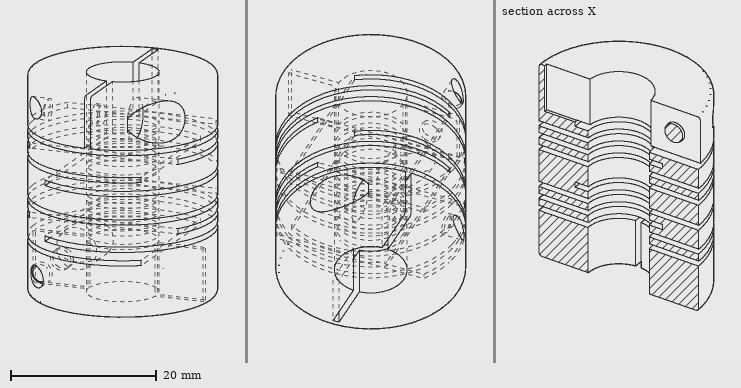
import cadquery as cq

length = 31.5
body_diameter = 26.2
bore_diameter = 10.02
edge_fillet = 0.5

collar_length = 7.45
slot_width = 0.75
slot_pitch = 1.95
slot_floor_offset = 7.12

slit_width = 0.88
slit_depth = 7.5
slit_end_offset = 12.1

screw_diameter = 3.02
screw_offset = 9.0
screw_inset = collar_length / 2
screw_tip_offset = 7.7
screw_tip_chamfer = 0.28
counterbore_diameter = 6.0
counterbore_floor_offset = 5.42

body_radius = body_diameter / 2
overrun = 0.3
cutter_reach = body_radius + overrun


def make_body():
    """Filleted cylinder, before the bore is made."""
    cylinder = cq.Workplane("XY").circle(body_radius).extrude(length)
    return cylinder.faces("<Z or >Z").edges().fillet(edge_fillet)


def make_bore():
    return cq.Workplane("XY").circle(bore_diameter / 2).extrude(length)


def slot_cutter(center_z, direction_angle):
    """Slot open toward the given angle about Z, measured from +X."""
    cutter = cq.Workplane("XY").box(
        slot_floor_offset + cutter_reach, 2 * cutter_reach, slot_width, centered=(False, True, True)
    )
    cutter = cutter.translate((-slot_floor_offset, 0, center_z))
    return cutter.rotate((0, 0, 0), (0, 0, 1), direction_angle)


def slit_cutter():
    """Slit down from the top face, open to -Y and closed near +Y."""
    cutter = cq.Workplane("XY").box(
        slit_width, cutter_reach + slit_end_offset, slit_depth, centered=(True, False, False)
    )
    return cutter.translate((0, -cutter_reach, length - slit_depth))


def rod_along_x(diameter, start_x, end_x):
    """Cylinder on the axis of the top clamp screw."""
    plane = cq.Workplane("YZ", origin=(start_x, -screw_offset, length - screw_inset))
    return plane.circle(diameter / 2).extrude(end_x - start_x)


def screw_hole_cutter():
    """Counterbore from +X and a hole from -X that leaves the chamfered screw tip standing."""
    counterbore = rod_along_x(counterbore_diameter, counterbore_floor_offset, cutter_reach)
    tip = rod_along_x(screw_diameter, -screw_tip_offset, 0).faces("<X").chamfer(screw_tip_chamfer)
    hole_floor_x = screw_tip_chamfer - screw_tip_offset
    tip_hole = rod_along_x(screw_diameter, -cutter_reach, hole_floor_x).cut(tip)
    return counterbore.union(tip_hole)


def to_bottom_collar(shape):
    """Carry a top collar shape to the bottom one: half turn about X, then a quarter turn about Z."""
    middle = length / 2
    flipped = shape.rotate((0, 0, middle), (1, 0, middle), 180)
    return flipped.rotate((0, 0, 0), (0, 0, 1), 90)


result = make_body().cut(make_bore())

top_slot_angles = (-90, 90, 180, 0)
bottom_slot_angles = (180, 0, 90, -90)
for index, (top_angle, bottom_angle) in enumerate(zip(top_slot_angles, bottom_slot_angles)):
    slot_inset = collar_length + slot_width / 2 + index * slot_pitch
    result = result.cut(slot_cutter(length - slot_inset, top_angle))
    result = result.cut(slot_cutter(slot_inset, bottom_angle))

slit = slit_cutter()
screw_bridge = rod_along_x(screw_diameter, -slit_width, slit_width)
screw_holes = screw_hole_cutter()
result = result.cut(slit).union(screw_bridge).cut(screw_holes)
result = result.cut(to_bottom_collar(slit))
result = result.union(to_bottom_collar(screw_bridge))
result = result.cut(to_bottom_collar(screw_holes))